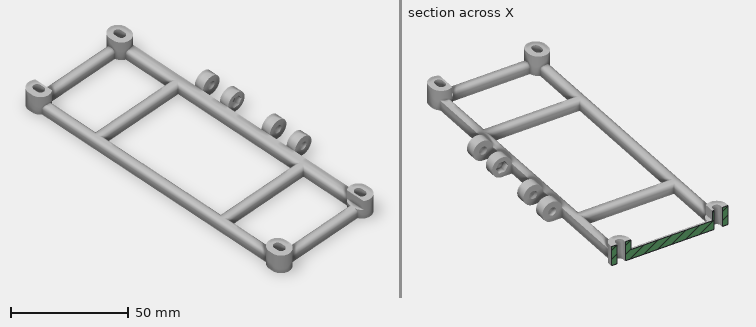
import cadquery as cq
import math


boss_height = 10
boss_width = 10
boss_length = 12
slot_width = 4
slot_length = 6
boss_x = 72
front_boss_y = boss_width / 2
rear_boss_y = 54
relief_offset = 3

bar_size = 5
bar_fillet = 2
front_bar_y = 4.5
rear_bar_y = 54.5
cross_bar_x = 37.5
end_bar_x = 72.5

knuckle_diameter = 10
knuckle_hole_diameter = 4
knuckle_width = 5
outer_knuckle_x = 27.5
inner_knuckle_x = 12.5
nut_across_flats = 5.3
nut_pocket_depth = 3
knuckle_y = rear_bar_y + bar_size / 2 + knuckle_diameter / 2


def bar(length_x, length_y, x, y, rounded_edges):
    """Bar on the ground plane with the selected top edges rounded."""
    block = cq.Workplane("XY").box(length_x, length_y, bar_size, centered=(True, True, False))
    return block.edges(rounded_edges).fillet(bar_fillet).translate((x, y, 0))


def make_frame():
    """Front and rear rails joined by two end bars and two cross bars."""
    rail_length = 2 * boss_x
    span = rear_bar_y - front_bar_y
    middle_y = (front_bar_y + rear_bar_y) / 2
    frame = bar(rail_length, bar_size, 0, front_bar_y, "|X and >Z")
    frame = frame.union(bar(rail_length, bar_size, 0, rear_bar_y, "|X and >Z and <Y"))
    for x in (-end_bar_x, -cross_bar_x, cross_bar_x, end_bar_x):
        frame = frame.union(bar(bar_size, span, x, middle_y, "|Y and >Z"))
    return frame


def boss_prism(length, width):
    """Upright obround prisms at the four corners."""
    centers = [(x, y) for x in (-boss_x, boss_x) for y in (front_boss_y, rear_boss_y)]
    return cq.Workplane("XY").pushPoints(centers).slot2D(length, width).extrude(boss_height)


def relief_cut(x, y, direction):
    """Block above bar height that flattens a boss on one side in Y."""
    depth = boss_width / 2 - relief_offset
    center_y = y + direction * (relief_offset + depth / 2)
    block = cq.Workplane("XY").box(boss_length, depth, boss_height - bar_size, centered=(True, True, False))
    return block.translate((x, center_y, bar_size))


def make_bosses():
    """Corner bosses, with two diagonally opposite ones relieved."""
    bosses = boss_prism(boss_length, boss_width)
    bosses = bosses.cut(relief_cut(-boss_x, front_boss_y, 1))
    return bosses.cut(relief_cut(boss_x, rear_boss_y, -1))


def make_knuckle(x):
    """Round knuckle on an X axis with a square foot reaching into the rear rail."""
    radius = knuckle_diameter / 2
    foot_length = knuckle_y - rear_bar_y
    barrel = (
        cq.Workplane("YZ")
        .center(knuckle_y, radius)
        .circle(radius)
        .extrude(knuckle_width / 2, both=True)
    )
    foot = (
        cq.Workplane("XY")
        .box(knuckle_width, foot_length, bar_size, centered=(True, True, False))
        .translate((0, knuckle_y - foot_length / 2, 0))
    )
    hole = (
        cq.Workplane("YZ")
        .center(knuckle_y, radius)
        .circle(knuckle_hole_diameter / 2)
        .extrude(knuckle_width / 2, both=True)
    )
    return barrel.union(foot).cut(hole).translate((x, 0, 0))


def nut_pocket(side):
    """Hexagonal pocket, flat side down, in the face of an inner knuckle that looks at X = 0."""
    across_corners = nut_across_flats / math.cos(math.pi / 6)
    inner_face_x = inner_knuckle_x - knuckle_width / 2
    return (
        cq.Workplane("YZ", origin=(side * inner_face_x, 0, 0))
        .center(knuckle_y, knuckle_diameter / 2)
        .polygon(6, across_corners)
        .extrude(side * nut_pocket_depth)
    )


result = make_frame().union(make_bosses())
for side in (-1, 1):
    result = result.union(make_knuckle(side * outer_knuckle_x))
    result = result.union(make_knuckle(side * inner_knuckle_x))
    result = result.cut(nut_pocket(side))
result = result.cut(boss_prism(slot_length, slot_width))